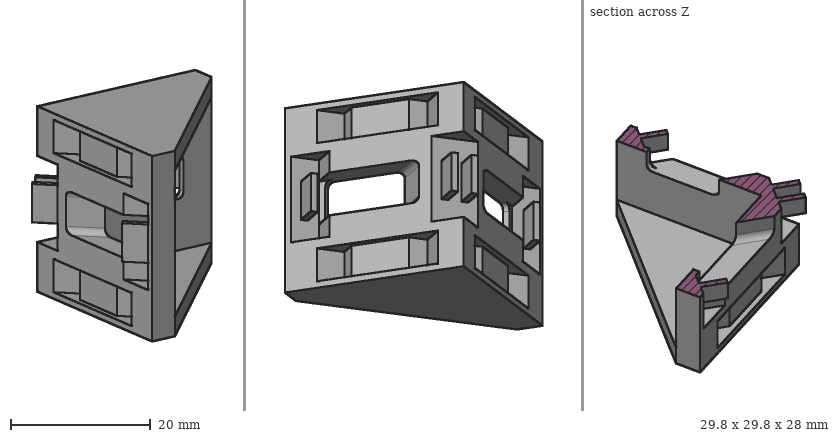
import cadquery as cq
import math

side = 28.0
wall = 4.0
gusset = 3.0

slot_start = 7.0
slot_end = 23.0
slot_height = 6.5
slot_radius = 1.0

seat_height = 13.0
seat_depth = 3.0
seat_start = 21.0
corner_cut = 5.0

recess_start = 4.0
recess_end = 23.0
recess_depth = 3.0
recess_step = 2.0
recess_height = 5.0
recess_margin = 1.0

tab_length = 4.0
tab_thickness = 1.0
tab_height = 5.8
tab_offset = 1.54
tab_root = 0.5

seat_peak = seat_start + seat_depth
seat_end = seat_peak + seat_depth
tab_pitch = seat_end - corner_cut


def prism(points, height, mid_z=0.0):
    """Extrude a closed XY polygon to a height centred on mid_z."""
    base = cq.Workplane("XY").workplane(offset=mid_z - height / 2)
    return base.polyline(points).close().extrude(height)


def make_shell():
    """Triangular bracket, hollow between the gussets and open on the sloping side."""
    outline = [(0, 0), (side, 0), (side, wall), (wall, side), (0, side)]
    cavity = [(wall, wall), (side, wall), (side, side), (wall, side)]
    return prism(outline, side).cut(prism(cavity, side - 2 * gusset))


def make_slot():
    """Slot in the front wall: one end slopes at 45 degrees, the other is square."""
    outline = [(slot_start, 0), (slot_end, 0), (slot_end, wall), (slot_start + wall, wall)]
    slot = prism(outline, slot_height)
    mid_wall = cq.selectors.BoxSelector((0, wall / 4, -side), (side, wall * 3 / 4, side))
    slot = slot.edges(mid_wall).fillet(slot_radius)
    widening = [(seat_start, 0), (seat_peak, 0), (seat_peak, seat_depth), (seat_start, seat_depth)]
    return slot.union(prism(widening, slot_height))


def make_end_seat():
    """V-shaped seat near the end of the front wall."""
    return prism([(seat_start, 0), (seat_peak, seat_depth), (seat_end, 0)], seat_height)


def make_recess(mid_z):
    """Recess with two V-shaped ends and a raised land between them."""
    land_depth = recess_depth - recess_step
    outline = [
        (recess_start, 0),
        (recess_start + recess_depth, recess_depth),
        (recess_start + recess_depth + recess_step, land_depth),
        (recess_end - recess_depth - recess_step, land_depth),
        (recess_end - recess_depth, recess_depth),
        (recess_end, 0),
    ]
    return prism(outline, recess_height, mid_z)


def make_tab(shift):
    """Plate pointing out along (-X, -Y) from the seat plane X + Y = corner_cut + shift."""
    foot_x = shift + corner_cut / 2 + tab_offset / math.sqrt(2)
    foot_y = corner_cut / 2 - tab_offset / math.sqrt(2)
    plate = cq.Workplane("XY").box(tab_length + tab_root, tab_thickness, tab_height)
    plate = plate.translate(((tab_root - tab_length) / 2, 0, 0))
    return plate.rotate((0, 0, 0), (0, 0, 1), 45).translate((foot_x, foot_y, 0))


def mirrored(shape):
    """Swap X and Y, carrying a feature of the front wall to the left wall."""
    return shape.mirror("YZ").rotate((0, 0, 0), (0, 0, 1), -90)


recess_mid_z = side / 2 - recess_margin - recess_height / 2
wall_cuts = [make_slot(), make_end_seat(), make_recess(recess_mid_z), make_recess(-recess_mid_z)]
tabs = [make_tab(0), make_tab(tab_pitch)]

corner_seat = prism([(0, 0), (corner_cut, 0), (0, corner_cut)], seat_height)

result = make_shell().cut(corner_seat)
for cutter in wall_cuts:
    result = result.cut(cutter).cut(mirrored(cutter))
for tab in tabs:
    result = result.union(tab).union(mirrored(tab))